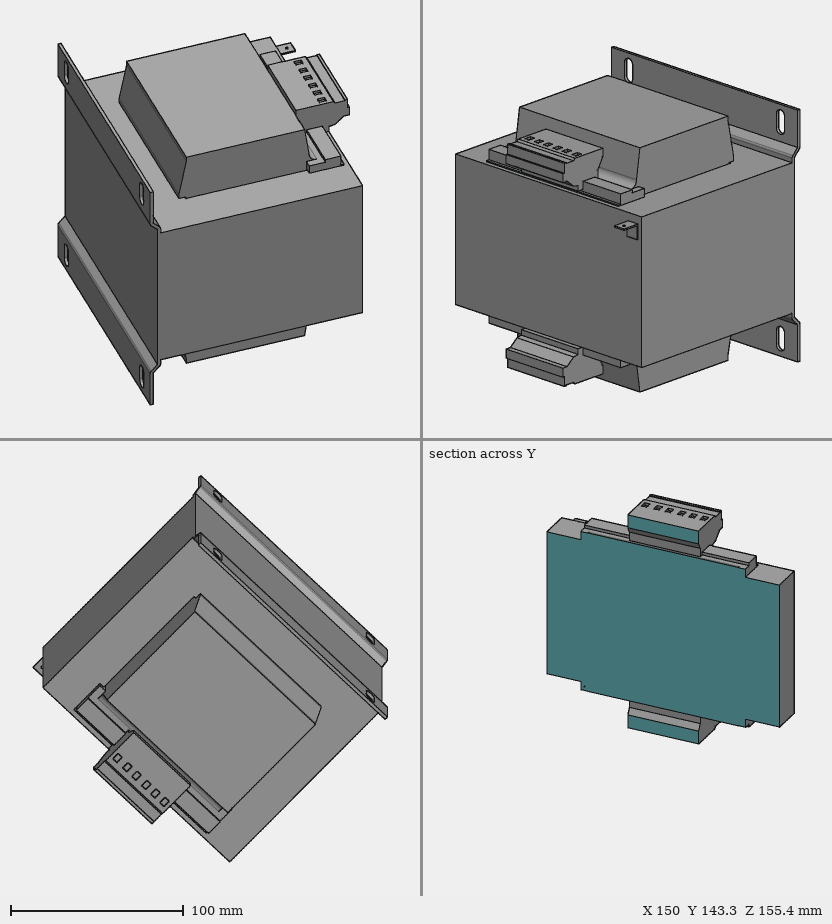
import cadquery as cq
import math


WIDTH = 150.0
HEIGHT = 155.4

SHEET = 2.0
PLATE_Y = 4.5
FLANGE_ROOT_Z = 54.7
SLOT_SPACING_X = 122.3
SLOT_Z = 66.8
SLOT_LENGTH = 15.0
SLOT_WIDTH = 6.5

CORE_FRONT_Y = PLATE_Y + SHEET
CORE_BACK_Y = 131.5
CORE_TOP_Z = 46.5
WINDOW_WIDTH = 99.8
WINDOW_FRONT_Y = 31.7
WINDOW_BACK_Y = 106.8

COIL_WIDTH = 97.0
COIL_TOP_Z = 75.4
COIL_TOP_FRONT_Y = 32.5
COIL_TOP_BACK_Y = 105.7
COIL_FOOT_FRONT_Y = 27.8
COIL_LIP_HEIGHT = 2.8
COIL_WAIST_Y = 108.5
COIL_FLARE_RADIUS = 4.7

BRACKET_WIDTH = 106.1
BRACKET_FRONT_Y = WINDOW_BACK_Y
BRACKET_STEP_Y = 116.7
BRACKET_BACK_Y = 126.3
BRACKET_STEP_Z = 51.7
BRACKET_TOP_Z = 53.6
SHIM_FRONT_Y = 120.7
SHIM_BACK_Y = 128.4
SHIM_THICKNESS = 0.8

POLE_GROUPS = (1, 2, 3)
POLE_PITCH = 7.3
END_WALL = 0.6
BLOCK_BACK_Y = 143.3
BLOCK_FRONT_Y = 110.0
BLOCK_FRONT_BOTTOM_Z = 64.5
BLOCK_TOP_Z = 69.6
BLOCK_TOP_BACK_Y = 133.2
LEDGE_FRONT_Y = 134.3
LEDGE_Z = 68.4
RIM_FRONT_Y = 140.3
RIM_BACK_Y = 142.0
RIM_TOP_Z = 68.8
NOSE_TOP_Z = 62.8
NOSE_BOTTOM_Z = 57.2
CHIN_BACK_Y = 139.7
CHIN_FRONT_Y = 134.3
CHIN_Z = 52.7
FOOT_BACK_Y = 130.5
FOOT_SHOULDER_Z = 52.0
FOOT_Z = 48.6
NECK_FRONT_Y = 114.2
NECK_TOP_Z = 57.2
POCKET_X = 3.3
POCKET_FRONT_Y = 125.4
POCKET_BACK_Y = 129.8
POCKET_DEPTH = 1.5

TAG_WIDTH = 7.8
TAG_X = -68.0
TAG_TIP_Y = 143.0
TAG_TOP_Z = 41.3
TAG_BOTTOM_Z = 31.9
TAG_SHEET = 1.0
TAG_HOLE_DIAMETER = 1.5
TAG_HOLE_Y = 139.1


def box(x_range, y_range, z_range):
    """Block spanning the given coordinate ranges."""
    size = [high - low for low, high in (x_range, y_range, z_range)]
    corner = (x_range[0], y_range[0], z_range[0])
    return cq.Workplane("XY").box(*size, centered=False).translate(corner)


def centred(width):
    return (-width / 2, width / 2)


def across(outline, width):
    """Extrude a closed (y, z) outline along x, centred on x = 0."""
    return outline.close().extrude(width / 2, both=True)


def both_sides(body):
    """The body together with its mirror image below z = 0."""
    return body.union(body.mirror("XY"))


def polar(centre, radius, degrees):
    angle = math.radians(degrees)
    return (centre[0] + radius * math.cos(angle), centre[1] + radius * math.sin(angle))


def mounting_plate():
    outer_pivot = (SHEET, FLANGE_ROOT_Z)
    inner_pivot = (PLATE_Y, FLANGE_ROOT_Z + SHEET - SHEET * math.sqrt(2) - PLATE_Y)
    half = (
        cq.Workplane("YZ")
        .moveTo(PLATE_Y, 0)
        .lineTo(*inner_pivot)
        .lineTo(*polar(outer_pivot, SHEET, 225))
        .threePointArc(polar(outer_pivot, SHEET, 202.5), polar(outer_pivot, SHEET, 180))
        .lineTo(0, HEIGHT / 2)
        .lineTo(SHEET, HEIGHT / 2)
        .lineTo(*outer_pivot)
        .lineTo(*polar(inner_pivot, SHEET, 45))
        .threePointArc(polar(inner_pivot, SHEET, 22.5), polar(inner_pivot, SHEET, 0))
        .lineTo(CORE_FRONT_Y, 0)
    )
    slots = (
        cq.Workplane("XZ")
        .rect(SLOT_SPACING_X, 2 * SLOT_Z, forConstruction=True)
        .vertices()
        .slot2D(SLOT_LENGTH, SLOT_WIDTH, 90)
        .extrude(-SHEET)
    )
    return both_sides(across(half, WIDTH)).cut(slots)


def core():
    z_range = (-CORE_TOP_Z, CORE_TOP_Z)
    block = box(centred(WIDTH), (CORE_FRONT_Y, CORE_BACK_Y), z_range)
    return block.cut(box(centred(WINDOW_WIDTH), (WINDOW_FRONT_Y, WINDOW_BACK_Y), z_range))


def coil():
    flare_y = COIL_WAIST_Y + COIL_FLARE_RADIUS
    flare_centre = (flare_y, BRACKET_STEP_Z + COIL_FLARE_RADIUS)
    head = (
        cq.Workplane("YZ")
        .moveTo(COIL_FOOT_FRONT_Y, CORE_TOP_Z)
        .lineTo(COIL_FOOT_FRONT_Y, CORE_TOP_Z + COIL_LIP_HEIGHT)
        .lineTo(COIL_TOP_FRONT_Y, COIL_TOP_Z - COIL_LIP_HEIGHT)
        .lineTo(COIL_TOP_FRONT_Y, COIL_TOP_Z)
        .lineTo(COIL_TOP_BACK_Y, COIL_TOP_Z)
        .lineTo(*polar(flare_centre, COIL_FLARE_RADIUS, 180))
        .threePointArc(
            polar(flare_centre, COIL_FLARE_RADIUS, 225),
            polar(flare_centre, COIL_FLARE_RADIUS, 270),
        )
        .lineTo(flare_y, CORE_TOP_Z)
    )
    winding = box(
        centred(COIL_WIDTH), (WINDOW_FRONT_Y, WINDOW_BACK_Y), (-CORE_TOP_Z, CORE_TOP_Z)
    )
    return both_sides(across(head, COIL_WIDTH)).union(winding)


def bracket():
    x_range = centred(BRACKET_WIDTH)
    step = box(x_range, (BRACKET_FRONT_Y, BRACKET_STEP_Y), (CORE_TOP_Z, BRACKET_STEP_Z))
    rail = box(x_range, (BRACKET_STEP_Y, BRACKET_BACK_Y), (CORE_TOP_Z, BRACKET_TOP_Z))
    shim_z = (CORE_TOP_Z, CORE_TOP_Z + SHIM_THICKNESS)
    shim = box(x_range, (SHIM_FRONT_Y, SHIM_BACK_Y), shim_z)
    return step.union(rail).union(shim)


def terminal_block():
    group_widths = [poles * POLE_PITCH + END_WALL for poles in POLE_GROUPS]
    width = sum(group_widths)
    outline = cq.Workplane("YZ").polyline(
        [
            (BLOCK_TOP_BACK_Y, BLOCK_TOP_Z),
            (LEDGE_FRONT_Y, LEDGE_Z),
            (RIM_FRONT_Y, LEDGE_Z),
            (RIM_FRONT_Y, RIM_TOP_Z),
            (RIM_BACK_Y, RIM_TOP_Z),
            (RIM_BACK_Y, NOSE_TOP_Z),
            (BLOCK_BACK_Y, NOSE_TOP_Z),
            (BLOCK_BACK_Y, NOSE_BOTTOM_Z),
            (CHIN_BACK_Y, NOSE_BOTTOM_Z),
            (CHIN_FRONT_Y, CHIN_Z),
            (FOOT_BACK_Y, FOOT_SHOULDER_Z),
            (FOOT_BACK_Y, FOOT_Z),
            (BRACKET_BACK_Y, FOOT_Z),
            (BRACKET_BACK_Y, BRACKET_TOP_Z),
            (BRACKET_STEP_Y, BRACKET_TOP_Z),
            (BRACKET_STEP_Y, BRACKET_STEP_Z),
            (NECK_FRONT_Y, BRACKET_STEP_Z),
            (NECK_FRONT_Y, NECK_TOP_Z),
            (BLOCK_FRONT_Y, BLOCK_FRONT_BOTTOM_Z),
            (BLOCK_FRONT_Y, BLOCK_TOP_Z),
        ]
    )
    block = across(outline, width)

    group_start = -width / 2
    for poles, group_width in zip(POLE_GROUPS, group_widths):
        for pole in range(poles):
            x = group_start + END_WALL / 2 + (pole + 0.5) * POLE_PITCH
            pocket = box(
                (x - POCKET_X / 2, x + POCKET_X / 2),
                (POCKET_FRONT_Y, POCKET_BACK_Y),
                (BLOCK_TOP_Z - POCKET_DEPTH, BLOCK_TOP_Z),
            )
            block = block.cut(pocket)
        group_start += group_width
    return block


def earth_tag():
    x_range = (TAG_X - TAG_WIDTH / 2, TAG_X + TAG_WIDTH / 2)
    blade = box(x_range, (CORE_BACK_Y, TAG_TIP_Y), (TAG_TOP_Z - TAG_SHEET, TAG_TOP_Z))
    foot = box(x_range, (CORE_BACK_Y, CORE_BACK_Y + TAG_SHEET), (TAG_BOTTOM_Z, TAG_TOP_Z))
    hole = (
        cq.Workplane("XY", origin=(TAG_X, TAG_HOLE_Y, TAG_TOP_Z))
        .circle(TAG_HOLE_DIAMETER / 2)
        .extrude(-TAG_SHEET)
    )
    return blade.union(foot).cut(hole)


terminals = both_sides(bracket().union(terminal_block()))
result = mounting_plate().union(core()).union(coil()).union(terminals).union(earth_tag())